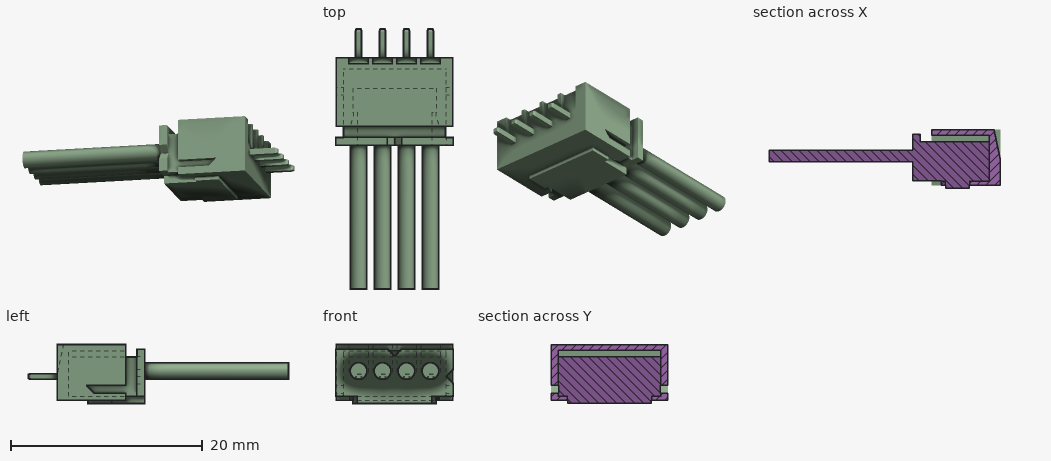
import cadquery as cq


contact_count = 4
pitch = 2.5
contact_x = [(i - (contact_count - 1) / 2) * pitch for i in range(contact_count)]

header_width = 12.2
header_depth = 7.17
header_height = 5.85
side_wall = 0.75
top_wall = 0.65
bottom_wall = 0.45
cavity_depth = 6.0
cavity_width = header_width - 2 * side_wall

slot_bottom = 0.75
slot_top = 1.55
slot_long = 4.1
slot_short = slot_long - (slot_top - slot_bottom)

pin_width = 0.65
pin_thickness = 0.6
pin_length = 3.0
pin_z = 2.5
pin_tip_length = 0.25
pin_tip_inset = 0.08

relief_width = 2.05
relief_depth = 0.65
relief_height = header_height - (pin_z + pin_thickness / 2)

plate_width = 12.3
plate_height = 4.9
plate_thickness = 0.83
plate_gap = 1.17
plate_rear = -plate_gap
plate_front = plate_rear - plate_thickness
plate_bottom = bottom_wall
plate_top = plate_bottom + plate_height
notch_depth = 0.75
notch_half_width = 0.75
tongue_drop = 0.8
tongue_height = plate_height - tongue_drop

latch_drop = 0.35
neck_width = 7.75
head_width = 8.75
head_start = 1.45
head_end = 3.95

throat_width = 8.6
flare_width = 9.3
flare_depth = 1.2

wire_diameter = 1.75
wire_length = 15.0
wire_z = 3.06


def block(width, y_start, y_end, z_start, z_end):
    """Box centred on X = 0 between the given Y and Z limits."""
    return (
        cq.Workplane("XY")
        .box(width, y_end - y_start, z_end - z_start, centered=(True, False, False))
        .translate((0, y_start, z_start))
    )


def side_slots():
    """Both side slots, as one cutter running through the full width."""
    return (
        cq.Workplane("YZ")
        .polyline([(0, slot_bottom), (slot_short, slot_bottom), (slot_long, slot_top), (0, slot_top)])
        .close()
        .extrude(header_width / 2, both=True)
    )


def latch_opening():
    """Cutter for the floor: flared mouth, throat, and a wider pocket for the latch head."""
    throat = block(throat_width, 0, head_start, 0, bottom_wall)
    pocket = block(head_width, head_start, head_end, 0, bottom_wall)
    flare = (
        cq.Workplane("XY")
        .polyline([
            (-flare_width / 2, 0),
            (flare_width / 2, 0),
            (throat_width / 2, flare_depth),
            (-throat_width / 2, flare_depth),
        ])
        .close()
        .extrude(bottom_wall)
    )
    return throat.union(pocket).union(flare)


def relief(x):
    """Steep wedge cutter running down the rear face to the pin at x."""
    return (
        cq.Workplane("YZ")
        .polyline([
            (header_depth - relief_depth, header_height),
            (header_depth, header_height),
            (header_depth, header_height - relief_height),
        ])
        .close()
        .extrude(relief_width / 2, both=True)
        .translate((x, 0, 0))
    )


def pin(x):
    """Rectangular pin standing on the rear face, with a tapered tip."""
    shank_end = header_depth + pin_length - pin_tip_length
    shank = block(pin_width, header_depth, shank_end, pin_z - pin_thickness / 2, pin_z + pin_thickness / 2)
    tip = (
        shank.faces(">Y")
        .workplane(centerOption="CenterOfMass")
        .rect(pin_width, pin_thickness)
        .workplane(offset=pin_tip_length)
        .rect(pin_width - 2 * pin_tip_inset, pin_thickness - 2 * pin_tip_inset)
        .loft(combine=False)
    )
    return shank.union(tip).translate((x, 0, 0))


def make_header():
    """Open-mouthed housing with its row of pins."""
    body = block(header_width, 0, header_depth, 0, header_height)
    cavity = block(cavity_width, 0, cavity_depth, bottom_wall, header_height - top_wall)
    body = body.cut(cavity).cut(side_slots()).cut(latch_opening())
    for x in contact_x:
        body = body.cut(relief(x)).union(pin(x))
    return body


def v_notch():
    """Triangular cutter through the plate, with its mouth at Z = 0 and its tip pointing down."""
    return (
        cq.Workplane("XZ", origin=(0, plate_rear, 0))
        .polyline([(-notch_half_width, 0), (notch_half_width, 0), (0, -notch_depth)])
        .close()
        .extrude(plate_thickness)
    )


def make_plate():
    """Flange plate with a V notch in its top edge and another in its +X edge."""
    plate = block(plate_width, plate_front, plate_rear, plate_bottom, plate_top)
    top_notch = v_notch().translate((0, 0, plate_top))
    side_notch = v_notch().rotate((0, 0, 0), (0, 1, 0), 90).translate((plate_width / 2, 0, pin_z))
    return plate.cut(top_notch).cut(side_notch)


def make_latch():
    """T-shaped latch under the plug."""
    neck = block(neck_width, plate_front, head_start, -latch_drop, plate_bottom)
    head = block(head_width, head_start, head_end, -latch_drop, plate_bottom)
    return neck.union(head)


def wire(x):
    """Round wire leaving the front of the plate."""
    return (
        cq.Workplane("XZ", origin=(x, plate_front, wire_z))
        .circle(wire_diameter / 2)
        .extrude(wire_length)
    )


def make_plug():
    """Flange plate, tongue filling the header cavity, latch and wires."""
    tongue = block(cavity_width, plate_rear, cavity_depth, plate_bottom, plate_bottom + tongue_height)
    body = make_plate().union(tongue).union(make_latch())
    for x in contact_x:
        body = body.union(wire(x))
    return body


header = make_header()
plug = make_plug()

result = cq.Compound.makeCompound([header.val(), plug.val()])